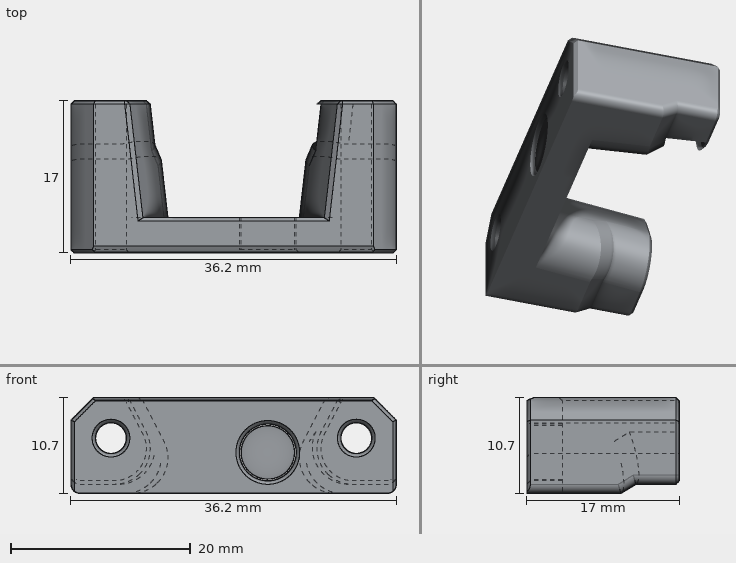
import cadquery as cq
import math

LENGTH = 36.25
DEPTH = 17.0
HEIGHT = 10.7
FRONT_Y = -DEPTH / 2
BACK_Y = DEPTH / 2
TOLERANCE = 0.005

SHOULDER = 2.55
BEVEL = 0.4
BOTTOM_FILLET = 1.0

STEP_HEIGHT = 1.0
SHELF_LENGTH = 4.85
STEP_RUN = 1.65

WEB_THICKNESS = 4.0
WEB_Y = FRONT_Y + WEB_THICKNESS
WEB_HALF_TOP = 10.3
OPEN_HALF_TOP = 11.8
WALL_ANGLE = 27.4
INNER_FILLET = 4.0

SCREW_DIAMETER = 3.4
SCREW_X = 13.67
SCREW_Z = 6.15

DISC_HOLE_DIAMETER = 6.3
DISC_DIAMETER = 6.0
DISC_X = 3.8
DISC_Z = 4.57
DISC_RECESS = 0.4


def make_block():
    """Bar with sloped shoulders and a raised underside at the back."""
    block = cq.Workplane("XY").box(LENGTH, DEPTH, HEIGHT, centered=(True, True, False))
    block = block.edges("|Y and >Z").chamfer(SHOULDER)
    shelf_y = BACK_Y - SHELF_LENGTH
    step = (
        cq.Workplane("YZ")
        .moveTo(shelf_y - STEP_RUN, 0)
        .lineTo(shelf_y, STEP_HEIGHT)
        .lineTo(BACK_Y, STEP_HEIGHT)
        .lineTo(BACK_Y, 0)
        .close()
        .extrude(LENGTH / 2, both=True)
    )
    return block.cut(step)


def make_opening():
    """Cutter between the arms: a trapezoid in plan whose leaning side walls narrow it downward."""
    wall_lean = HEIGHT * math.tan(math.radians(WALL_ANGLE))
    points = []
    for y, half_top in ((WEB_Y, WEB_HALF_TOP), (BACK_Y, OPEN_HALF_TOP)):
        for side in (-1, 1):
            points.append(cq.Vector(side * (half_top - wall_lean), y, 0))
            points.append(cq.Vector(side * half_top, y, HEIGHT))
    corner_loops = [
        (0, 1, 3, 2), (4, 5, 7, 6), (0, 1, 5, 4), (2, 3, 7, 6), (0, 2, 6, 4), (1, 3, 7, 5)
    ]
    faces = []
    for loop in corner_loops:
        outline = cq.Wire.makePolygon([points[i] for i in loop], close=True)
        faces.append(cq.Face.makeFromWires(outline))
    return cq.Workplane(cq.Solid.makeSolid(cq.Shell.makeShell(faces)))


def beveled_hole(diameter, x, z):
    """Through-hole cutter along Y with a countersunk front rim."""
    front = cq.Workplane("XZ", origin=(x, FRONT_Y, z))
    bore = front.circle(diameter / 2).extrude(-DEPTH)
    rim = cq.Solid.makeCone(
        diameter / 2 + BEVEL, diameter / 2, BEVEL, cq.Vector(x, FRONT_Y, z), cq.Vector(0, 1, 0)
    )
    return bore.union(cq.Workplane(rim))


def bottom_side_edges(body, inner):
    """Lengthwise bottom edges of the arms: next to the opening, or on the outer sides."""
    def wanted(edge):
        box = edge.BoundingBox()
        low = box.zmax <= STEP_HEIGHT + TOLERANCE
        lengthwise = box.ylen > 0.35
        outside = abs(edge.Center().x) > LENGTH / 2 - TOLERANCE
        return low and lengthwise and outside != inner

    return body.newObject([edge for edge in body.edges().vals() if wanted(edge)])


def front_bevel_edges(body):
    """Side, shoulder and top edges of the front face; its bottom edge stays sharp."""
    def wanted(edge):
        box = edge.BoundingBox()
        return box.ymax < FRONT_Y + TOLERANCE and box.zmax > STEP_HEIGHT + TOLERANCE

    return body.newObject([edge for edge in body.edges().vals() if wanted(edge)])


def rear_bevel_edges(body):
    """Edges of the arm ends, and the top edges round the opening."""
    def wanted(edge):
        box = edge.BoundingBox()
        center = edge.Center()
        on_back = box.ymin > BACK_Y - TOLERANCE
        behind_front = box.ymax > FRONT_Y + TOLERANCE
        round_opening = center.z > HEIGHT - TOLERANCE and abs(center.x) < OPEN_HALF_TOP
        above_bottom = box.zmax > STEP_HEIGHT + TOLERANCE
        return above_bottom and (on_back or (round_opening and behind_front))

    return body.newObject([edge for edge in body.edges().vals() if wanted(edge)])


def make_bracket():
    bracket = make_block().cut(make_opening())
    bracket = bottom_side_edges(bracket, inner=True).fillet(INNER_FILLET)
    bracket = front_bevel_edges(bracket).chamfer(BEVEL)
    bracket = bottom_side_edges(bracket, inner=False).fillet(BOTTOM_FILLET)
    bracket = rear_bevel_edges(bracket).chamfer(BEVEL)
    for x in (-SCREW_X, SCREW_X):
        bracket = bracket.cut(beveled_hole(SCREW_DIAMETER, x, SCREW_Z))
    return bracket.cut(beveled_hole(DISC_HOLE_DIAMETER, DISC_X, DISC_Z))


def make_disc():
    """Disc set back from the front face, ending level with the back of the web."""
    disc_front = cq.Workplane("XZ", origin=(DISC_X, FRONT_Y + DISC_RECESS, DISC_Z))
    return disc_front.circle(DISC_DIAMETER / 2).extrude(DISC_RECESS - WEB_THICKNESS)


bracket = make_bracket()
disc = make_disc()
result = cq.Compound.makeCompound([bracket.solids().val(), disc.val()])